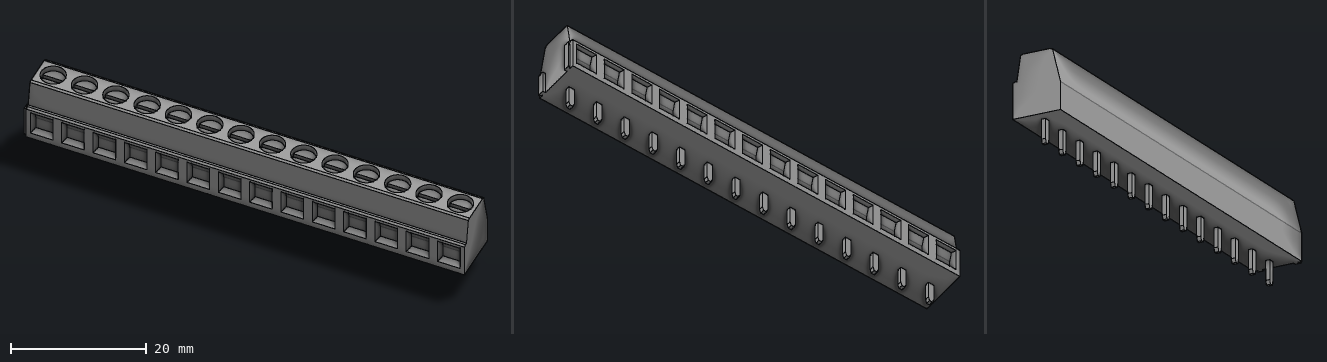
import cadquery as cq

total_length = 71.6
pole_count = 14
rail_projection = 0.5
housing_length = total_length - rail_projection
pitch = housing_length / pole_count
housing_start = rail_projection - total_length / 2

half_depth = 4.1
housing_height = 10.0
top_half_width = 2.3
top_bevel_width = 0.4
top_bevel_drop = 0.15
back_wall_height = 4.45
lip_height = 5.9
lip_root_y = -3.4
lip_bevel_width = 0.35
lip_bevel_drop = 0.2

rail_inner_y = 2.65
rail_width = 1.1
back_rail_height = 4.15
front_rail_height = 5.2
rail_undercut = 0.35

entry_width = 3.65
entry_height = 4.1
entry_bottom = 1.1
entry_depth = 1.1
entry_end_width = 2.9
entry_floor_rise = 0.35
roof_depth = 0.8
roof_drop = 1.7

well_top_diameter = 3.9
screw_diameter = 3.7
screw_recess = 0.9
slot_width = 0.65
slot_depth = 0.65

pin_width = 1.0
pin_thickness = 0.7
pin_length = 3.8
pin_tip_width = 0.6
pin_tip_length = 0.65


def make_housing():
    bevel_z = housing_height - top_bevel_drop
    bevel_y = top_half_width + top_bevel_width
    outline = [
        (-half_depth, 0),
        (half_depth, 0),
        (half_depth, back_wall_height),
        (bevel_y, bevel_z),
        (top_half_width, housing_height),
        (-top_half_width, housing_height),
        (-bevel_y, bevel_z),
        (lip_root_y, lip_height),
        (-half_depth + lip_bevel_width, lip_height),
        (-half_depth, lip_height - lip_bevel_drop),
    ]
    profile = cq.Workplane("YZ", origin=(housing_start, 0, 0)).polyline(outline).close()
    return profile.extrude(housing_length)


def make_rail(side, height):
    """Rail on the end face; side is +1 for the back rail and -1 for the front rail."""
    inner = side * rail_inner_y
    outer = side * (rail_inner_y + rail_width)
    tip_x = housing_start - rail_projection
    outline = [
        (housing_start, inner),
        (tip_x, inner),
        (tip_x, outer),
        (housing_start, outer - side * rail_undercut),
    ]
    return cq.Workplane("XY").polyline(outline).close().extrude(height)


def make_wire_entry(x):
    """Funnel with tapered sides and floor; its back wall leans forward above the wire channel."""
    entry_top = entry_bottom + entry_height
    end_height = entry_height - entry_floor_rise
    funnel = (
        cq.Workplane("XZ", origin=(x, -half_depth, entry_bottom + entry_height / 2))
        .rect(entry_width, entry_height)
        .workplane(offset=-entry_depth)
        .center(0, entry_floor_rise / 2)
        .rect(entry_end_width, end_height)
        .loft(ruled=True)
    )
    side_outline = [
        (-half_depth, entry_bottom),
        (-half_depth + entry_depth, entry_bottom),
        (-half_depth + entry_depth, entry_top - roof_drop),
        (-half_depth + roof_depth, entry_top),
        (-half_depth, entry_top),
    ]
    side_profile = cq.Workplane("YZ", origin=(x, 0, 0)).polyline(side_outline).close()
    return funnel.intersect(side_profile.extrude(entry_width / 2, both=True))


def make_screw_recess(x):
    """Round well down to the screw head, with the driver slot across the head."""
    head_z = housing_height - screw_recess
    well = (
        cq.Workplane("XY", origin=(x, 0, head_z))
        .circle(screw_diameter / 2)
        .workplane(offset=screw_recess)
        .circle(well_top_diameter / 2)
        .loft()
    )
    slot_bar = cq.Workplane("XY", origin=(x, 0, head_z)).box(screw_diameter, slot_width, 2 * slot_depth)
    screw_head = (
        cq.Workplane("XY", origin=(x, 0, head_z))
        .circle(screw_diameter / 2)
        .extrude(-slot_depth)
    )
    return well.union(screw_head.intersect(slot_bar))


def make_pin(x):
    half_width = pin_width / 2
    half_tip = pin_tip_width / 2
    shoulder_z = pin_tip_length - pin_length
    outline = [
        (-half_width, 0),
        (half_width, 0),
        (half_width, shoulder_z),
        (half_tip, -pin_length),
        (-half_tip, -pin_length),
        (-half_width, shoulder_z),
    ]
    profile = cq.Workplane("XZ", origin=(x, 0, 0)).polyline(outline).close()
    return profile.extrude(pin_thickness / 2, both=True)


result = make_housing()
result = result.union(make_rail(1, back_rail_height))
result = result.union(make_rail(-1, front_rail_height))

for pole in range(pole_count):
    pole_x = housing_start + (pole + 0.5) * pitch
    result = result.cut(make_wire_entry(pole_x))
    result = result.cut(make_screw_recess(pole_x))
    result = result.union(make_pin(pole_x))